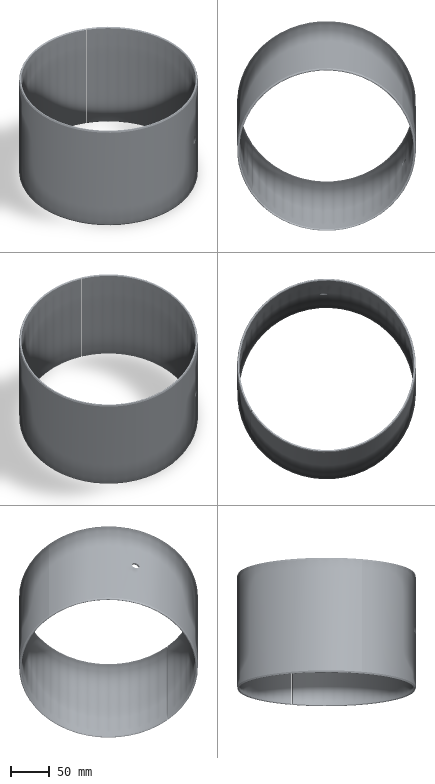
import cadquery as cq

outer_diameter = 230.0
height = 150.0
wall = 2.8
outer_chamfer_height = 2.0
outer_chamfer_depth = 1.0
inner_chamfer = 1.0
slit_width = 1.5
hole_diameter = 10.0
hole_angle = 59.3

outer_radius = outer_diameter / 2
inner_radius = outer_radius - wall


def make_sleeve():
    """Thin tube, centred on the origin, with the inner and outer edges of both rims bevelled."""
    rim_outer_radius = outer_radius - outer_chamfer_depth
    rim_inner_radius = inner_radius + inner_chamfer
    half_height = height / 2
    outer_shoulder = half_height - outer_chamfer_height
    inner_shoulder = half_height - inner_chamfer
    profile = [
        (inner_radius, -inner_shoulder),
        (rim_inner_radius, -half_height),
        (rim_outer_radius, -half_height),
        (outer_radius, -outer_shoulder),
        (outer_radius, outer_shoulder),
        (rim_outer_radius, half_height),
        (rim_inner_radius, half_height),
        (inner_radius, inner_shoulder),
    ]
    return cq.Workplane("XZ").polyline(profile).close().revolve(360, (0, 0), (0, 1))


def make_slit():
    """Full-height cutter that splits the wall at -X, with one face on the XZ plane."""
    cutter = cq.Workplane("XY").box(outer_radius, slit_width, height)
    return cutter.translate((-outer_radius, slit_width / 2, 0))


def make_hole():
    """Radial cutter for the round hole at mid-height."""
    cutter = cq.Workplane("YZ").circle(hole_diameter / 2).extrude(outer_diameter)
    return cutter.rotate((0, 0, 0), (0, 0, 1), hole_angle)


result = make_sleeve().cut(make_slit()).cut(make_hole())